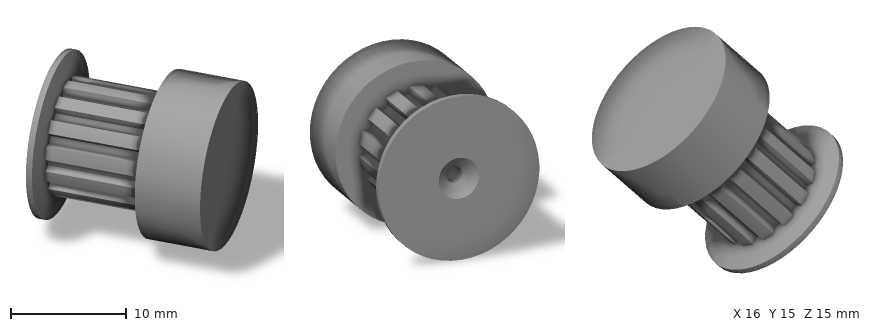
import cadquery as cq
import math

overall_length = 16.0
outer_diameter = 15.0
outer_radius = outer_diameter / 2

rim_thickness = 0.56
flange_thickness = 1.0

hub_length = 6.0
hub_start = overall_length - hub_length

tooth_count = 14
tip_radius = 5.3
groove_root_radius = 4.56
groove_root_width = 0.7
groove_mouth_width = 1.17
cutter_overrun = 0.16
tooth_length = hub_start - flange_thickness

countersink_radius = 1.87
countersink_angle = 97.0
pilot_radius = 0.75
pilot_length = 1.92
drill_point_angle = 150.0


def cone_length(wide_radius, narrow_radius, included_angle):
    """Axial length of a cone that narrows between two radii."""
    return (wide_radius - narrow_radius) / math.tan(math.radians(included_angle / 2))


def distance_along_groove(radius, half_width):
    """Distance from the axis, along a groove's center line, of a point on a circle."""
    return math.sqrt(radius**2 - half_width**2)


def turned_body():
    """Flange, tooth blank and hub as one revolved profile."""
    profile = (
        cq.Workplane("XY")
        .moveTo(0, 0)
        .lineTo(0, outer_radius)
        .lineTo(rim_thickness, outer_radius)
        .lineTo(flange_thickness, tip_radius)
        .lineTo(hub_start, tip_radius)
        .lineTo(hub_start, outer_radius)
        .lineTo(overall_length, outer_radius)
        .lineTo(overall_length, 0)
        .close()
    )
    return profile.revolve(360, (0, 0, 0), (1, 0, 0))


def tooth_groove(angle):
    """Cutter for one groove: flaring flanks and a root concentric with the axis."""
    root_half = groove_root_width / 2
    mouth_half = groove_mouth_width / 2
    root_corner = distance_along_groove(groove_root_radius, root_half)
    mouth_corner = distance_along_groove(tip_radius, mouth_half)
    flare = (mouth_half - root_half) / (mouth_corner - root_corner)
    cutter_top = tip_radius + cutter_overrun
    top_half = root_half + flare * (cutter_top - root_corner)
    return (
        cq.Workplane("YZ", origin=(flange_thickness, 0, 0))
        .moveTo(root_corner, -root_half)
        .threePointArc((groove_root_radius, 0), (root_corner, root_half))
        .lineTo(cutter_top, top_half)
        .lineTo(cutter_top, -top_half)
        .close()
        .extrude(tooth_length)
        .rotate((0, 0, 0), (1, 0, 0), angle)
    )


def center_hole():
    """Cutter for the countersink, the pilot bore and its conical drill point."""
    countersink_end = cone_length(countersink_radius, pilot_radius, countersink_angle)
    pilot_end = countersink_end + pilot_length
    point_end = pilot_end + cone_length(pilot_radius, 0, drill_point_angle)
    profile = (
        cq.Workplane("XY")
        .moveTo(0, 0)
        .lineTo(0, countersink_radius)
        .lineTo(countersink_end, pilot_radius)
        .lineTo(pilot_end, pilot_radius)
        .lineTo(point_end, 0)
        .close()
    )
    return profile.revolve(360, (0, 0, 0), (1, 0, 0))


result = turned_body()
for index in range(tooth_count):
    result = result.cut(tooth_groove(index * 360 / tooth_count))
result = result.cut(center_hole())